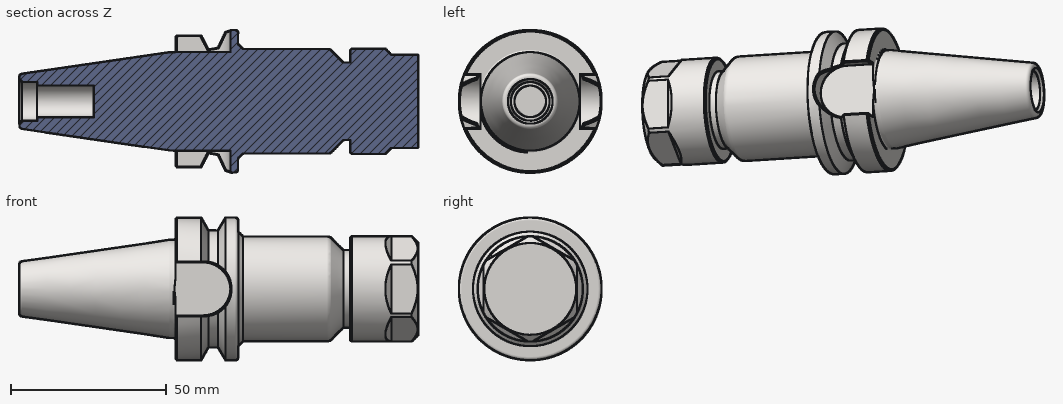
import cadquery as cq


total_length = 128.4
margin = 0.1

gauge_station = 48.4
gauge_radius = 31.7 / 2
taper_ratio = 7 / 24
small_end_radius = gauge_radius - gauge_station * taper_ratio / 2
small_end_rounding = 1.3

flange_start = 50.3
flange_end = 70.5
flange_radius = 46.0 / 2
flange_edge_chamfer = 0.5
flange_rim_rounding = 1.0
flange_root_fillet = 0.6
groove_radius = 18.9
groove_start = 58.5
groove_floor_start = 60.9
groove_floor_end = 64.0
groove_end = 66.4

body_radius = 33.8 / 2
body_foot_chamfer = 1.5
shoulder_station = 99.9
shoulder_rounding = 1.7
neck_radius = 25.0 / 2
neck_start = shoulder_station + body_radius - neck_radius

nut_start = 106.5
nut_radius = 33.9 / 2
nut_rear_chamfer = 0.5
nut_front_chamfer = 2.2
flat_distance = 30.0 / 2
flat_count = 6
flat_start = 119.7

slot_half_width = 8.5
slot_end = 67.9
slot_arc_center = slot_end - slot_half_width
slot_floor = 15.9
slot_edge_chamfer = 0.4

bore_mouth_radius = 7.2
bore_radius = 12.5 / 2
bore_depth = 5.8
thread_radius = 10.1 / 2
thread_depth = 24.0


def turned_body():
    """Revolve the complete outer profile about X."""
    profile = (
        cq.Workplane("XY")
        .lineTo(0, small_end_radius)
        .lineTo(gauge_station, gauge_radius)
        .lineTo(flange_start - flange_root_fillet, gauge_radius)
        .radiusArc((flange_start, gauge_radius + flange_root_fillet), -flange_root_fillet)
        .lineTo(flange_start, flange_radius - flange_edge_chamfer)
        .lineTo(flange_start + flange_edge_chamfer, flange_radius)
        .lineTo(groove_start, flange_radius)
        .lineTo(groove_floor_start, groove_radius)
        .lineTo(groove_floor_end, groove_radius)
        .lineTo(groove_end, flange_radius)
        .lineTo(flange_end - flange_rim_rounding, flange_radius)
        .radiusArc((flange_end, flange_radius - flange_rim_rounding), flange_rim_rounding)
        .lineTo(flange_end, body_radius + body_foot_chamfer)
        .lineTo(flange_end + body_foot_chamfer, body_radius)
        .lineTo(shoulder_station, body_radius)
        .lineTo(neck_start, neck_radius)
        .lineTo(nut_start, neck_radius)
        .lineTo(nut_start, nut_radius - nut_rear_chamfer)
        .lineTo(nut_start + nut_rear_chamfer, nut_radius)
        .lineTo(total_length - nut_front_chamfer, nut_radius)
        .lineTo(total_length, nut_radius - nut_front_chamfer)
        .lineTo(total_length, 0)
        .close()
    )
    body = profile.revolve(360, (0, 0, 0), (1, 0, 0))
    body = body.faces("<X").edges().fillet(small_end_rounding)
    shoulder_edge = cq.selectors.BoxSelector(
        (shoulder_station - margin, -nut_radius, -nut_radius),
        (shoulder_station + margin, nut_radius, nut_radius),
    )
    return body.edges(shoulder_edge).fillet(shoulder_rounding)


def drawbar_bore():
    """Stepped blind bore with a 45 degree mouth, entering from X = 0."""
    return (
        cq.Workplane("XY")
        .lineTo(0, bore_mouth_radius)
        .lineTo(bore_mouth_radius - bore_radius, bore_radius)
        .lineTo(bore_depth, bore_radius)
        .lineTo(bore_depth, thread_radius)
        .lineTo(thread_depth, thread_radius)
        .lineTo(thread_depth, 0)
        .close()
        .revolve(360, (0, 0, 0), (1, 0, 0))
    )


def drive_slot():
    """Round-ended slot on the -Y side, open toward the taper."""
    slot_depth = flange_radius - slot_floor
    outline = (
        cq.Workplane("XZ", origin=(0, -slot_floor, 0))
        .moveTo(gauge_station, -slot_half_width)
        .lineTo(slot_arc_center, -slot_half_width)
        .threePointArc((slot_end, 0), (slot_arc_center, slot_half_width))
        .lineTo(gauge_station, slot_half_width)
        .close()
    )
    return outline.extrude(slot_depth)


def slot_box(side, start, end):
    """Selector for edges inside one slot from its floor outward, from start to end along X."""
    near, far = sorted((side * (slot_floor - margin), side * (flange_radius + margin)))
    half_width = slot_half_width + margin
    return cq.selectors.BoxSelector(
        (start - margin, near, -half_width),
        (end + margin, far, half_width),
        boundingbox=True,
    )


def chamfer_slot_edges(body):
    """Break the edges where both slots' walls meet the flange and its groove."""
    for side in (-1, 1):
        slot_edges = slot_box(side, flange_start, slot_end)
        floor_edges = cq.selectors.BoxSelector(
            (flange_start - margin, side * slot_floor - margin, -flange_radius),
            (slot_end + margin, side * slot_floor + margin, flange_radius),
            boundingbox=True,
        )
        tangent_edges = slot_box(side, slot_arc_center, slot_arc_center)
        body = body.edges(slot_edges - floor_edges - tangent_edges).chamfer(slot_edge_chamfer)
    return body


def wrench_flat():
    """Cutter for one nut flat on the +Y side, with a 45 degree run-out at the rear."""
    cutter_top = nut_radius + margin
    ramp_top = flat_start - (cutter_top - flat_distance)
    return (
        cq.Workplane("XY")
        .moveTo(ramp_top, cutter_top)
        .lineTo(flat_start, flat_distance)
        .lineTo(total_length, flat_distance)
        .lineTo(total_length, cutter_top)
        .close()
        .extrude(nut_radius, both=True)
    )


result = turned_body().cut(drawbar_bore())

for slot_angle in (0, 180):
    result = result.cut(drive_slot().rotate((0, 0, 0), (1, 0, 0), slot_angle))
result = chamfer_slot_edges(result)

for index in range(flat_count):
    flat_angle = index * 360 / flat_count
    result = result.cut(wrench_flat().rotate((0, 0, 0), (1, 0, 0), flat_angle))